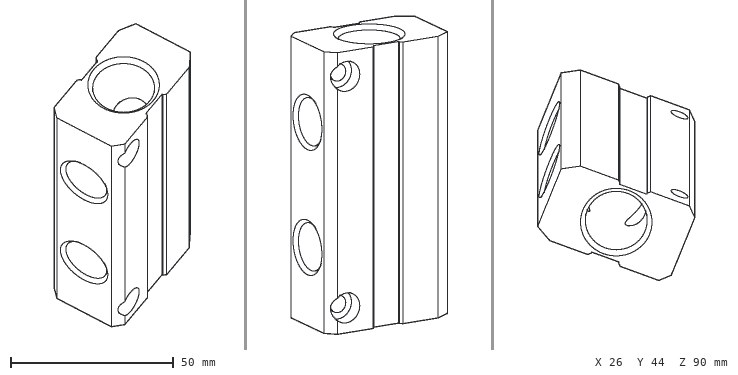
import cadquery as cq
import math

width = 26.0
depth = 44.0
height = 90.0
half_width = width / 2
half_depth = depth / 2
half_height = height / 2

bevel_width = 3.0
back_bevel_length = bevel_width * math.tan(math.radians(60))

groove_y = -1.0
groove_width = 9.0
groove_lip_width = 10.6
groove_depth = 1.2
groove_lip_depth = (groove_lip_width - groove_width) / 2

main_bore_diameter = 19.0
main_bore_mouth = 22.0
cross_bore_diameter = 15.0
cross_bore_mouth = 17.5
cross_bore_spacing = 40.0

bolt_hole_diameter = 5.5
bolt_head_diameter = 9.5
bolt_head_depth = 5.0
bolt_spacing = 74.0
bolt_y = 6.2 - half_depth


def mirrored_x(points):
    """Close a right-hand outline with its mirror image."""
    return points + [(-x, y) for x, y in reversed(points)]


def make_body():
    floor_x = half_width - groove_depth
    lip_x = half_width - groove_lip_depth
    right_side = [
        (half_width - bevel_width, -half_depth),
        (half_width, -half_depth + bevel_width),
        (half_width, groove_y - groove_lip_width / 2),
        (lip_x, groove_y - groove_width / 2),
        (floor_x, groove_y - groove_width / 2),
        (floor_x, groove_y + groove_width / 2),
        (lip_x, groove_y + groove_width / 2),
        (half_width, groove_y + groove_lip_width / 2),
        (half_width, half_depth - back_bevel_length),
        (half_width - bevel_width, half_depth),
    ]
    section = cq.Workplane("XY").workplane(offset=-half_height)
    return section.polyline(mirrored_x(right_side)).close().extrude(height)


def countersunk_bore(diameter, mouth_diameter, length):
    """Z-axis through bore, centred, with 45-degree countersinks at both ends."""
    radius = diameter / 2
    mouth_radius = mouth_diameter / 2
    half_length = length / 2
    shoulder = half_length - (mouth_radius - radius)
    profile = [
        (0, -half_length),
        (mouth_radius, -half_length),
        (radius, -shoulder),
        (radius, shoulder),
        (mouth_radius, half_length),
        (0, half_length),
    ]
    return cq.Workplane("XZ").polyline(profile).close().revolve(360, (0, 0), (0, 1))


def bolt_hole(z):
    """Through hole along X with its head recess on the +X side."""
    face = cq.Workplane("YZ", origin=(half_width, bolt_y, z))
    shank = face.circle(bolt_hole_diameter / 2).extrude(-width)
    head = face.circle(bolt_head_diameter / 2).extrude(-bolt_head_depth)
    return shank.union(head)


result = make_body()
result = result.cut(countersunk_bore(main_bore_diameter, main_bore_mouth, height))

cross_bore = countersunk_bore(cross_bore_diameter, cross_bore_mouth, depth)
cross_bore = cross_bore.rotate((0, 0, 0), (1, 0, 0), 90)
for side in (-1, 1):
    result = result.cut(cross_bore.translate((0, 0, side * cross_bore_spacing / 2)))
    result = result.cut(bolt_hole(side * bolt_spacing / 2))